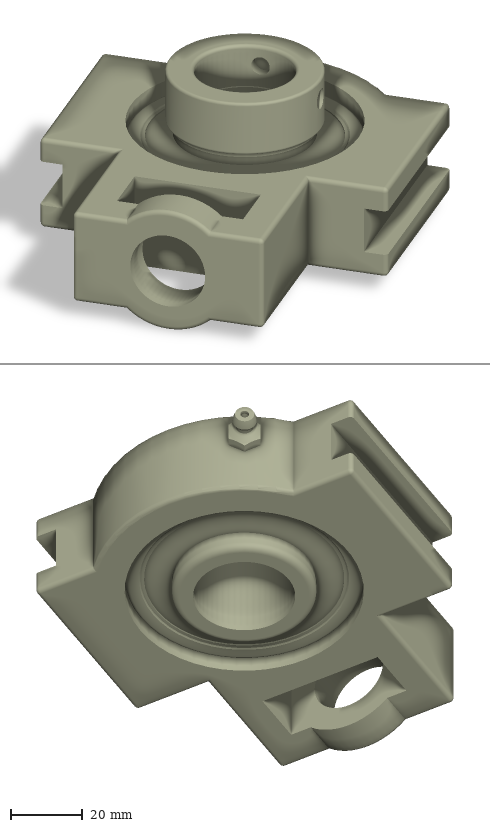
import cadquery as cq
import math


plate_thickness = 27.6
wing_width = 102.0
wing_depth = 57.0
stem_width = 55.9
stem_end_y = -69.7
crown_radius = 43.0
edge_radius = 1.3
bearing_bore_dia = 66.7

groove_depth = 6.8
groove_height = 13.6

boss_dia = 36.9
boss_length = 11.0
boss_hole_dia = 22.0
window_width = 37.0
window_length = 16.1

outer_ring_width = 19.2
outer_ring_fillet = 1.0
outer_ring_bore_dia = 51.4
mouth_dia = 58.7
mouth_floor_dia = 57.9
mouth_depth = 0.4

seal_dia = 55.9
seal_seat_depth = 2.3
seal_rim_recess = 0.8
seal_hub_rise = 0.5

shaft_dia = 28.5
inner_ring_dia = 40.3
inner_ring_bottom_z = -15.8
inner_ring_top_z = 17.5
inner_ring_fillet = 2.0
inner_ring_bore_chamfer = 0.4

collar_dia = 44.5
collar_bottom_z = 14.1
collar_top_z = 30.2
collar_fillet = 0.8
collar_bore_fillet = 1.0
collar_lip_dia = 41.4
collar_lip_height = 1.4
drift_hole_dia = 6.0
drift_hole_depth = 3.5

screw_dia = 6.0
screw_z = 24.1
screw_outer_y = 23.1
screw_length = 5.8
pilot_hole_dia = 5.4

nipple_angle = 120.0
nipple_z = 4.9
nipple_base = 42.9
hex_across_flats = 9.0
hex_height = 3.0
hex_chamfer_height = 0.4
nipple_hole_dia = 2.5
nipple_hole_depth = 1.2
cone_top = 47.5
neck_top = 48.6
ball_start = 50.1
nipple_tip = 53.0
neck_dia = 4.7
ball_dia = 6.7
tip_dia = 5.4

half_thickness = plate_thickness / 2
half_ring = outer_ring_width / 2


def centered_box(width, depth, height, x=0.0, y=0.0):
    return cq.Workplane("XY").box(width, depth, height).translate((x, y, 0))


def cylinder_along_z(diameter, bottom_z, top_z):
    return cq.Workplane("XY").workplane(offset=bottom_z).circle(diameter / 2).extrude(top_z - bottom_z)


def cylinder_along_y(diameter, start_y, end_y, z=0.0):
    center = (0, start_y, z)
    return cq.Workplane("XZ", origin=center).circle(diameter / 2).extrude(start_y - end_y)


def make_nipple():
    """Hexagon foot with a corner up, a necked round head and a hole in the tip."""
    angle = math.radians(nipple_angle)
    outward = (math.cos(angle), math.sin(angle), 0)
    sideways = (-outward[1], outward[0], 0)
    center = (0, 0, nipple_z)
    axis_plane = cq.Plane(origin=center, xDir=(0, 0, 1), normal=outward)
    profile_plane = cq.Plane(origin=center, xDir=(0, 0, 1), normal=sideways)

    across_corners = hex_across_flats / math.cos(math.pi / 6)
    foot = (
        cq.Workplane(axis_plane)
        .workplane(offset=nipple_base)
        .polygon(6, across_corners)
        .extrude(hex_height)
    )
    foot_top = nipple_base + hex_height
    foot_limit = (
        cq.Workplane(profile_plane)
        .moveTo(0, nipple_base)
        .lineTo(across_corners / 2, nipple_base)
        .lineTo(across_corners / 2, foot_top - hex_chamfer_height)
        .lineTo(hex_across_flats / 2, foot_top)
        .lineTo(0, foot_top)
        .close()
        .revolve(360, (0, 0), (0, 1))
    )
    ball_height = nipple_tip - ball_start
    tip_inset = (ball_dia - tip_dia) / 2
    ball_radius = (ball_height**2 + tip_inset**2) / (2 * tip_inset)
    half_turn = math.asin(ball_height / ball_radius) / 2
    ball_mid_radius = ball_dia / 2 - ball_radius * (1 - math.cos(half_turn))
    ball_mid = ball_start + ball_radius * math.sin(half_turn)
    head = (
        cq.Workplane(profile_plane)
        .moveTo(0, foot_top)
        .lineTo(hex_across_flats / 2, foot_top)
        .lineTo(neck_dia / 2, cone_top)
        .lineTo(neck_dia / 2, neck_top)
        .lineTo(ball_dia / 2, ball_start)
        .threePointArc((ball_mid_radius, ball_mid), (tip_dia / 2, nipple_tip))
        .lineTo(0, nipple_tip)
        .close()
        .revolve(360, (0, 0), (0, 1))
    )
    hole = (
        cq.Workplane(axis_plane)
        .workplane(offset=nipple_tip - nipple_hole_depth)
        .circle(nipple_hole_dia / 2)
        .extrude(nipple_hole_depth)
    )
    return foot.intersect(foot_limit).union(head).cut(hole)


def make_plate():
    """Two wings, a stem and a round crown, with rounded outer edges."""
    half_wing = wing_width / 2
    half_depth = wing_depth / 2
    half_stem = stem_width / 2
    crown_x = math.sqrt(crown_radius**2 - half_depth**2)
    plate = (
        cq.Workplane("XY")
        .workplane(offset=-half_thickness)
        .moveTo(-half_stem, stem_end_y)
        .lineTo(half_stem, stem_end_y)
        .lineTo(half_stem, -half_depth)
        .lineTo(half_wing, -half_depth)
        .lineTo(half_wing, half_depth)
        .lineTo(crown_x, half_depth)
        .threePointArc((0, crown_radius), (-crown_x, half_depth))
        .lineTo(-half_wing, half_depth)
        .lineTo(-half_wing, -half_depth)
        .lineTo(-half_stem, -half_depth)
        .close()
        .extrude(plate_thickness)
    )
    wing_corners = plate.faces("<X or >X").edges("|Z")
    stem_corners = plate.faces("<Y").edges("|Z")
    rims = plate.faces("<Z or >Z").edges()
    rounded = wing_corners.add(stem_corners).add(rims)
    return plate.newObject(rounded.vals()).fillet(edge_radius)


def make_housing(nipple):
    boss_inner_y = stem_end_y + boss_length
    boss = cylinder_along_y(boss_dia, stem_end_y, boss_inner_y).faces("<Y").edges().fillet(edge_radius)
    housing = make_plate().union(boss)

    window_y = boss_inner_y + window_length / 2
    housing = housing.cut(centered_box(window_width, window_length, plate_thickness, y=window_y))
    housing = housing.cut(cylinder_along_y(boss_hole_dia, stem_end_y, boss_inner_y))
    housing = housing.cut(cylinder_along_z(bearing_bore_dia, -half_thickness, half_thickness))

    groove_x = (wing_width - groove_depth) / 2
    for side in (-1, 1):
        housing = housing.cut(centered_box(groove_depth, wing_depth, groove_height, x=side * groove_x))

    return housing.cut(nipple)


def make_outer_ring():
    ring = cylinder_along_z(bearing_bore_dia, -half_ring, half_ring)
    ring = ring.edges().fillet(outer_ring_fillet)
    ring = ring.cut(cylinder_along_z(outer_ring_bore_dia, -half_ring, half_ring))
    mouth_floor_z = half_ring - mouth_depth
    seat_z = half_ring - seal_seat_depth
    seat = (
        cq.Workplane("XZ")
        .moveTo(0, half_ring)
        .lineTo(mouth_dia / 2, half_ring)
        .lineTo(mouth_floor_dia / 2, mouth_floor_z)
        .lineTo(seal_dia / 2, mouth_floor_z)
        .lineTo(seal_dia / 2, seat_z)
        .lineTo(0, seat_z)
        .close()
        .revolve(360, (0, 0), (0, 1))
    )
    return ring.cut(seat).cut(seat.mirror("XY"))


def make_seal(side):
    """Annular seal whose outer face rises towards the inner ring; side is 1 for top, -1 for bottom."""
    seat_z = half_ring - seal_seat_depth
    outline = [
        (inner_ring_dia / 2, seat_z),
        (seal_dia / 2, seat_z),
        (seal_dia / 2, half_ring - seal_rim_recess),
        (inner_ring_dia / 2, half_ring + seal_hub_rise),
    ]
    seal = cq.Workplane("XZ").polyline(outline).close().revolve(360, (0, 0), (0, 1))
    return seal if side > 0 else seal.mirror("XY")


def make_inner_ring():
    ring = cylinder_along_z(inner_ring_dia, inner_ring_bottom_z, inner_ring_top_z)
    ring = ring.faces("<Z").edges().fillet(inner_ring_fillet)
    ring = ring.cut(cylinder_along_z(shaft_dia, inner_ring_bottom_z, inner_ring_top_z))
    bore_mouth = ring.faces(">Z").edges(cq.selectors.RadiusNthSelector(0))
    return bore_mouth.chamfer(inner_ring_bore_chamfer)


def make_collar(set_screw):
    collar = cylinder_along_z(collar_dia, collar_bottom_z, collar_top_z).edges().fillet(collar_fillet)
    lip_z = collar_bottom_z - collar_lip_height
    collar = collar.union(cylinder_along_z(collar_lip_dia, lip_z, inner_ring_top_z))
    collar = collar.cut(cylinder_along_z(shaft_dia, lip_z, collar_top_z))
    collar = collar.faces(">Z").edges(cq.selectors.RadiusNthSelector(0))
    collar = collar.fillet(collar_bore_fillet)
    collar = collar.cut(cylinder_along_z(inner_ring_dia, lip_z, inner_ring_top_z))
    collar = collar.cut(cylinder_along_y(pilot_hole_dia, 0, collar_dia / 2, screw_z))
    collar = collar.cut(set_screw)
    drift_hole = (
        cq.Workplane("YZ", origin=(collar_dia / 2 - drift_hole_depth, 0, screw_z))
        .circle(drift_hole_dia / 2)
        .extrude(drift_hole_depth)
    )
    return collar.cut(drift_hole)


def make_set_screw():
    return cylinder_along_y(screw_dia, screw_outer_y - screw_length, screw_outer_y, screw_z)


nipple = make_nipple()
housing = make_housing(nipple)
outer_ring = make_outer_ring()
seals = [make_seal(side) for side in (1, -1)]
inner_ring = make_inner_ring()
set_screw = make_set_screw()
collar = make_collar(set_screw)

result = cq.Compound.makeCompound(
    [
        housing.val(),
        outer_ring.val(),
        *[seal.val() for seal in seals],
        inner_ring.val(),
        collar.val(),
        set_screw.val(),
        nipple.val(),
    ]
)